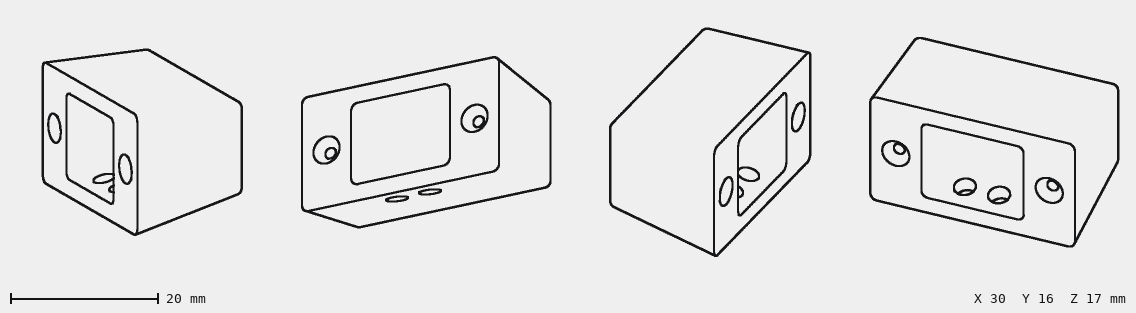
import cadquery as cq
import math

width = 30.0
depth = 16.0
height = 17.0
underside_slope = 0.25
edge_radius = 1.0

pocket_width = 15.0
pocket_depth = 12.5
pocket_margin = 2.45

floor_hole_diameter = 3.0
floor_hole_spacing = 5.0
floor_hole_setback = 3.3

screw_spacing = 22.5
screw_diameter = 1.6
countersink_diameter = 4.0
countersink_depth = 1.2
screw_depth = 8.0
drill_tip_angle = 118.0


def wedge(block_width, block_depth, bottom, top):
    """Block along +Y whose lower face climbs at the underside slope."""
    back_bottom = bottom + block_depth * underside_slope
    side = [(0, bottom), (block_depth, back_bottom), (block_depth, top), (0, top)]
    block = cq.Workplane("YZ").polyline(side).close().extrude(block_width / 2, both=True)
    return block.edges("not(<Y)").fillet(edge_radius)


def screw_hole(x):
    """Countersunk hole with a conical drill tip, running along +Y."""
    hole_radius = screw_diameter / 2
    tip_length = hole_radius / math.tan(math.radians(drill_tip_angle / 2))
    profile = [
        (0, 0),
        (countersink_diameter / 2, 0),
        (hole_radius, countersink_depth),
        (hole_radius, screw_depth),
        (0, screw_depth + tip_length),
    ]
    hole = cq.Workplane("XY").polyline(profile).close().revolve(360, (0, 0), (0, 1))
    return hole.translate((x, 0, height / 2))


def floor_hole(x):
    """Hole square to the sloping floor, from inside the pocket out through the underside."""
    floor_z = pocket_margin + floor_hole_setback * underside_slope
    normal = cq.Vector(0, -underside_slope, 1).normalized()
    floor_point = cq.Vector(x, floor_hole_setback, floor_z)
    start = floor_point + normal * (floor_hole_diameter / 2)
    length = 2 * pocket_margin + floor_hole_diameter / 2
    return cq.Solid.makeCylinder(floor_hole_diameter / 2, length, start, normal * -1)


body = wedge(width, depth, 0, height)
pocket = wedge(pocket_width, pocket_depth, pocket_margin, height - pocket_margin)
result = body.cut(pocket)

for side_sign in (-1, 1):
    result = result.cut(screw_hole(side_sign * screw_spacing / 2))
    result = result.cut(floor_hole(side_sign * floor_hole_spacing / 2))